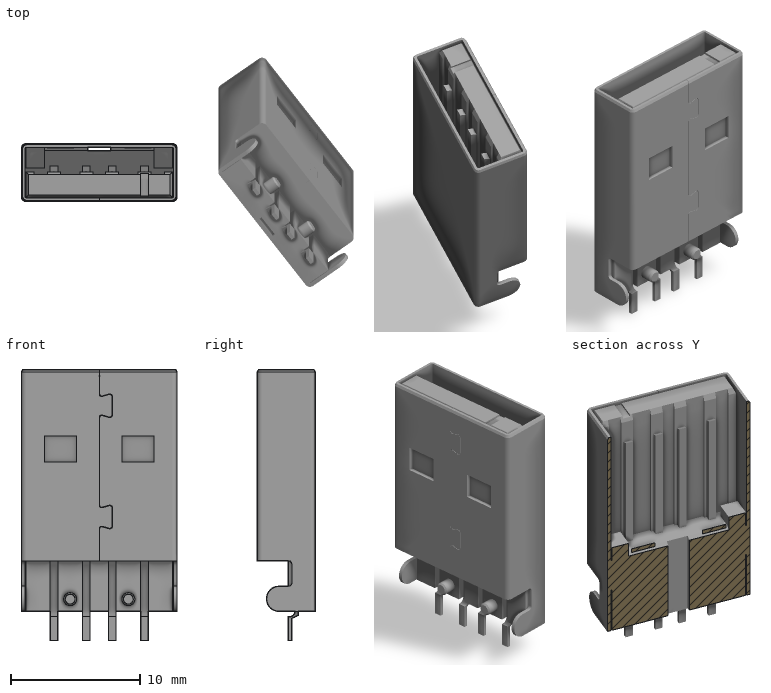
import cadquery as cq


shell_width = 12.05
shell_depth = 4.5
shell_height = 18.7
wall = 0.3
corner_radius = 0.4
rim_chamfer_height = 0.2
rim_chamfer_width = 0.1
inner_width = shell_width - 2 * wall
inner_depth = shell_depth - 2 * wall
inner_front = -inner_depth / 2
inner_back = inner_depth / 2

front_wall_bottom = 3.9
tab_height = 1.95
tab_radius = tab_height / 2
tab_tip_y = -1.53
notch_y = 0.43
notch_radius = 0.25

window_width = 2.5
window_height = 2.0
window_spacing = 6.0
window_z = 12.55

seam_gap = 0.03
key_length = 1.0
key_neck_half = 0.65
key_tip_half = 0.95
key_radius = 0.2
key_heights = (7.3, 15.9)

housing_width = 11.34
base_front = 0.15
base_height = 7.0
base_edge_chamfer = 0.25
vent_width = 1.75
vent_depth = 0.25
post_width = 1.45
post_depth = 1.6
post_height = 1.0
tongue_top = 18.65
tongue_back = -0.15
tongue_chamfer_width = 0.2
tongue_chamfer_height = 0.45
ridge_depth = 0.2
contact_ridge_width = 1.0
end_ridge_width = 0.62
groove_width = 0.6
groove_depth = 0.17
groove_x = 3.5

bump_width = 2.0
bump_depth = 0.06
bump_height = 0.6

pin_positions = (-3.5, -1.0, 1.0, 3.5)
pin_width = 0.6
pin_thickness = 0.28
pin_upper_front = 0.66
pin_lower_front = 0.15
pin_bottom = -2.25
pin_bend_radius = 0.4
pin_back_bend_start = -0.3
pin_back_bend_end = -0.54
contact_back = 0.51
contact_top = 16.5
contact_tip_drop = 0.2

peg_diameter = 1.0
peg_length = 1.0
peg_chamfer = 0.12
peg_spacing = 4.5
peg_z = 0.95


def block(x_range, y_range, z_range):
    """Box given by its limits along each axis."""
    size = [high - low for low, high in (x_range, y_range, z_range)]
    low_corner = (x_range[0], y_range[0], z_range[0])
    return cq.Workplane("XY").box(*size, centered=False).translate(low_corner)


def centred_block(centre_x, width, y_range, z_range):
    return block((centre_x - width / 2, centre_x + width / 2), y_range, z_range)


def extrude_along_x(profile, centre_x, width):
    """Extrude a (Y, Z) profile symmetrically about centre_x."""
    return profile.extrude(width / 2, both=True).translate((centre_x, 0, 0))


def make_front_cutter():
    """Space in front of the side walls below the front wall, bounded by the round-ended tabs."""
    outside = -shell_depth
    below = -tab_height
    tab_centre_y = tab_tip_y + tab_radius
    profile = (
        cq.Workplane("YZ")
        .moveTo(outside, front_wall_bottom)
        .lineTo(notch_y, front_wall_bottom)
        .lineTo(notch_y, tab_height)
        .lineTo(tab_centre_y, tab_height)
        .threePointArc((tab_tip_y, tab_radius), (tab_centre_y, 0))
        .lineTo(tab_centre_y, below)
        .lineTo(outside, below)
        .close()
    )
    cutter = extrude_along_x(profile, 0, 2 * shell_width)
    return cutter.edges("|X and >Y").fillet(notch_radius)


def make_seam():
    """Thin slit that follows a straight seam with dovetail keys."""
    margin = 2.0
    half = cq.Workplane("XZ").polyline([
        (-margin, -margin), (0, -margin), (0, shell_height + margin), (-margin, shell_height + margin),
    ]).close().extrude(margin + shell_depth)
    for key_z in key_heights:
        key = cq.Workplane("XZ").polyline([
            (-margin / 2, key_z - key_neck_half),
            (0, key_z - key_neck_half),
            (key_length, key_z - key_tip_half),
            (key_length, key_z + key_tip_half),
            (0, key_z + key_neck_half),
            (-margin / 2, key_z + key_neck_half),
        ]).close().extrude(margin + shell_depth)
        half = half.union(key)
    key_region = cq.selectors.BoxSelector(
        (-key_radius, -2 * shell_depth, 0), (key_length + key_radius, shell_depth, shell_height)
    )
    half = half.edges("|Y").edges(key_region).fillet(key_radius)
    grown = half.faces("<Y").wires().toPending().offset2D(seam_gap).extrude(-shell_depth - margin)
    near_seam = block((-margin / 2, margin), (-shell_depth, inner_front), (-margin, shell_height + margin))
    return grown.cut(half).intersect(near_seam)


def make_shell():
    """Sheet-metal tube with a chamfered rim, tabs, latch windows and a seam."""
    shell = cq.Workplane("XY").rect(shell_width, shell_depth).extrude(shell_height)
    shell = shell.edges("|Z").fillet(corner_radius)
    shell = shell.faces(">Z").chamfer(rim_chamfer_height, rim_chamfer_width)
    cavity = cq.Workplane("XY").rect(inner_width, inner_depth).extrude(shell_height)
    shell = shell.cut(cavity.edges("|Z").fillet(corner_radius - wall))
    shell = shell.cut(make_front_cutter())
    for side in (-1, 1):
        window_range = (window_z - window_height / 2, window_z + window_height / 2)
        front_wall = (-shell_depth, inner_front)
        shell = shell.cut(centred_block(side * window_spacing / 2, window_width, front_wall, window_range))
    return shell.cut(make_seam())


def make_base():
    """Base that fills the shell above the front cut-away and clears its side walls below it."""
    base = centred_block(0, inner_width, (inner_front, inner_back), (front_wall_bottom, base_height))
    base = base.edges(">Y and >Z").chamfer(base_edge_chamfer)
    base = base.union(centred_block(0, housing_width, (base_front, inner_back), (0, front_wall_bottom)))
    base = base.cut(centred_block(0, vent_width, (inner_back - vent_depth, inner_back), (0, base_height)))
    for side in (-1, 1):
        post_x = side * (housing_width - post_width) / 2
        post_y = (inner_back - post_depth, inner_back)
        base = base.union(centred_block(post_x, post_width, post_y, (0, base_height + post_height)))
    for pin_x in pin_positions:
        channel = centred_block(pin_x, pin_width, (base_front, pin_upper_front), (0, front_wall_bottom))
        base = base.cut(channel)
    return base


def make_tongue():
    """Contact tongue that stands on the base along the front wall."""
    ridge_back = tongue_back + ridge_depth
    z_range = (base_height, tongue_top)
    tongue = centred_block(0, housing_width, (inner_front, ridge_back), z_range)
    tongue = tongue.faces(">Z").chamfer(tongue_chamfer_height, tongue_chamfer_width)
    ridges = [(pin_x, contact_ridge_width) for pin_x in pin_positions]
    end_ridge_x = (housing_width - end_ridge_width) / 2
    ridges = [(-end_ridge_x, end_ridge_width)] + ridges + [(end_ridge_x, end_ridge_width)]
    for (left_x, left_width), (right_x, right_width) in zip(ridges, ridges[1:]):
        gap = (left_x + left_width / 2, right_x - right_width / 2)
        tongue = tongue.cut(block(gap, (tongue_back, ridge_back), (base_height, tongue_top)))
    groove_range = (tongue_top - groove_depth, tongue_top)
    tongue = tongue.cut(centred_block(groove_x, groove_width, (inner_front, ridge_back), groove_range))
    return tongue


def make_pin(pin_x):
    """Solder pin that runs down the base channel, bends forward and goes straight down."""
    upper_back = pin_upper_front + pin_thickness
    lower_back = pin_lower_front + pin_thickness
    profile = (
        cq.Workplane("YZ")
        .moveTo(pin_upper_front, front_wall_bottom)
        .lineTo(pin_upper_front, 0)
        .radiusArc((pin_upper_front - pin_bend_radius, -pin_bend_radius), pin_bend_radius)
        .lineTo(pin_lower_front, -pin_bend_radius)
        .lineTo(pin_lower_front, pin_bottom)
        .lineTo(lower_back, pin_bottom)
        .lineTo(lower_back, pin_back_bend_end)
        .lineTo(upper_back, pin_back_bend_start)
        .lineTo(upper_back, front_wall_bottom)
        .close()
    )
    return extrude_along_x(profile, pin_x, pin_width)


def make_contact(pin_x):
    """Contact bar on its tongue ridge, with a tip that slopes down toward the tongue."""
    contact_front = tongue_back + ridge_depth
    profile = cq.Workplane("YZ").polyline([
        (contact_front, base_height),
        (contact_back, base_height),
        (contact_back, contact_top),
        (contact_front, contact_top - contact_tip_drop),
    ]).close()
    return extrude_along_x(profile, pin_x, pin_width)


def make_bump(centre_x):
    """Wedge on the inner face of the back wall, just above the base."""
    profile = cq.Workplane("YZ").polyline([
        (inner_back, base_height),
        (inner_back - bump_depth, base_height),
        (inner_back, base_height + bump_height),
    ]).close()
    return extrude_along_x(profile, centre_x, bump_width)


def make_peg(peg_x):
    """Locating peg that points forward from the base."""
    peg = cq.Workplane("XZ").circle(peg_diameter / 2).extrude(peg_length)
    peg = peg.faces("<Y").chamfer(peg_chamfer)
    return peg.translate((peg_x, base_front, peg_z))


result = make_shell().union(make_base()).union(make_tongue())
for pin_x in pin_positions:
    result = result.union(make_pin(pin_x)).union(make_contact(pin_x))
for side in (-1, 1):
    result = result.union(make_bump(side * window_spacing / 2))
    result = result.union(make_peg(side * peg_spacing / 2))